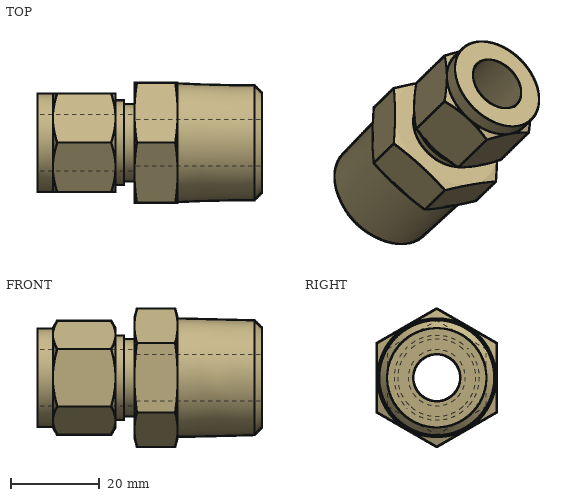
import cadquery as cq
import math


TUBE_END = 0.0
NUT_START = 3.5
NUT_END = 17.6
SHOULDER_END = 19.5
BODY_START = 21.85
BODY_END = 31.55
TAPER_START = 32.4
PIPE_END = 50.55

NUT_FLATS = 22.25
NUT_CHAMFER_ANGLE = 30
BODY_FLATS = 27.0
BODY_CHAMFER_ANGLE = 15

COLLAR_DIAMETER = NUT_FLATS
SHOULDER_DIAMETER = 19.1
NECK_DIAMETER = 17.5
PIPE_DIAMETER = 26.7
PIPE_TAPER = 1 / 40
PIPE_CHAMFER = 1.75

SOCKET_DIAMETER = 12.75
SOCKET_DEPTH = BODY_START
PASSAGE_DIAMETER = 10.5


def cylinder(start, end, diameter):
    """Round bar on the X axis between two stations."""
    return cq.Workplane("YZ", origin=(start, 0, 0)).circle(diameter / 2).extrude(end - start)


def revolved(profile):
    """Turn a list of (station, radius) points about the X axis."""
    return cq.Workplane("XZ").polyline(profile).close().revolve(360, (0, 0, 0), (1, 0, 0))


def chamfered_hexagon(start, end, flats, chamfer_angle):
    """Hexagon with corners up and down, both ends turned back to the flats' inscribed circle."""
    corner_radius = flats / math.sqrt(3)
    face_radius = flats / 2
    setback = (corner_radius - face_radius) * math.tan(math.radians(chamfer_angle))
    prism = (
        cq.Workplane("YZ", origin=(start, 0, 0))
        .polygon(6, 2 * corner_radius)
        .extrude(end - start)
        .rotate((0, 0, 0), (1, 0, 0), 90)
    )
    envelope = revolved([
        (start, 0),
        (start, face_radius),
        (start + setback, corner_radius),
        (end - setback, corner_radius),
        (end, face_radius),
        (end, 0),
    ])
    return prism.intersect(envelope)


def pipe_end():
    """Short straight root, tapered length and 45 degree end chamfer."""
    root_radius = PIPE_DIAMETER / 2
    taper_end = PIPE_END - PIPE_CHAMFER
    tip_radius = root_radius - PIPE_TAPER * (taper_end - TAPER_START)
    return revolved([
        (BODY_END, 0),
        (BODY_END, root_radius),
        (TAPER_START, root_radius),
        (taper_end, tip_radius),
        (PIPE_END, tip_radius - PIPE_CHAMFER),
        (PIPE_END, 0),
    ])


nut = cylinder(TUBE_END, NUT_START, COLLAR_DIAMETER).union(
    chamfered_hexagon(NUT_START, NUT_END, NUT_FLATS, NUT_CHAMFER_ANGLE)
)
waist = cylinder(NUT_END, SHOULDER_END, SHOULDER_DIAMETER).union(
    cylinder(SHOULDER_END, BODY_START, NECK_DIAMETER)
)
body = chamfered_hexagon(BODY_START, BODY_END, BODY_FLATS, BODY_CHAMFER_ANGLE).union(pipe_end())

socket = cylinder(TUBE_END, SOCKET_DEPTH, SOCKET_DIAMETER)
passage = cylinder(TUBE_END, PIPE_END, PASSAGE_DIAMETER)

result = nut.union(waist).union(body).cut(socket).cut(passage)